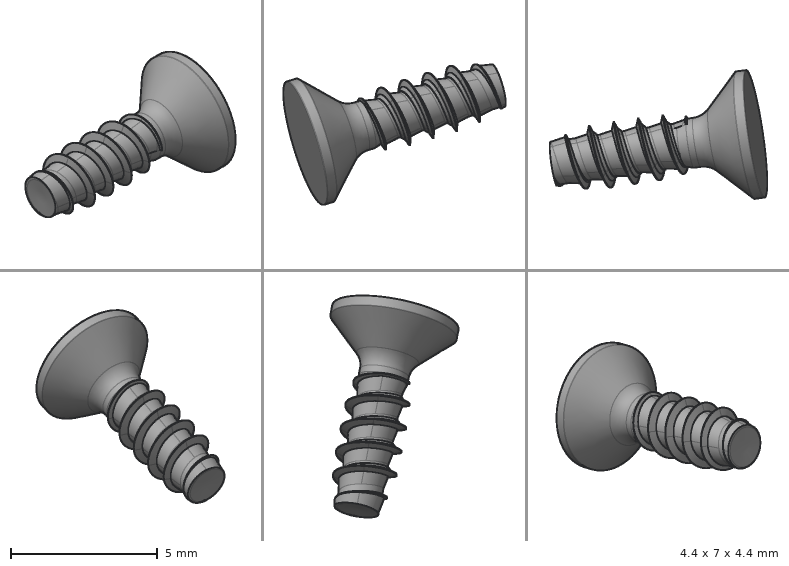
import math

import cadquery as cq


total_length = 7.0
head_radius = 2.2
rim_height = 0.35
rim_rounding = 0.02
head_slope = math.radians(45)
neck_radius = 0.85
neck_fillet_radius = 0.8
neck_end_depth = 2.26
neck_taper_end_depth = 2.6

core_radius = 0.745
tip_dimple_radius = 0.70
tip_dimple_depth = 0.05

crest_radius = 1.1
crest_half_width = 0.012
lead_flank_offset = -0.095
lead_flank_radius = 0.885
root_slope = math.radians(45)
root_slope_width = 0.115
back_flank_offset = 0.115
swell_radius = 0.82
swell_end_offset = 0.54
swell_overrun = 0.05
buried_radius = 0.385

pitch = 0.85
first_crest_depth = 2.116
first_turn = 0
flat_start_last_turn = 0.25
flat_start_shift = 0.12
full_height_first_turn = 1.25
full_height_last_turn = 4.25
last_turn = 5.75
run_in_sink_per_turn = 0.15
run_out_sink_per_turn = 0.23
deepest_thread_sink = 0.27
stretches_per_turn = 4
points_per_stretch = 5

swell_slope = (swell_radius - core_radius) / (swell_end_offset - back_flank_offset)
back_flank_slope = (back_flank_offset - crest_half_width) / (crest_radius - swell_radius)


def make_body():
    """Countersunk head, neck fillet, neck and plain core, turned about Y."""
    fillet_start_radius = neck_radius + neck_fillet_radius * (1 - math.cos(head_slope))
    fillet_start_depth = rim_height + (head_radius - fillet_start_radius) / math.tan(head_slope)
    fillet_end_depth = fillet_start_depth + neck_fillet_radius * math.sin(head_slope)
    half_slope = head_slope / 2
    fillet_mid_radius = neck_radius + neck_fillet_radius * (1 - math.cos(half_slope))
    fillet_mid_depth = fillet_end_depth - neck_fillet_radius * math.sin(half_slope)
    body = (
        cq.Workplane("XY")
        .lineTo(head_radius, 0)
        .lineTo(head_radius, -rim_height)
        .lineTo(fillet_start_radius, -fillet_start_depth)
        .threePointArc((fillet_mid_radius, -fillet_mid_depth), (neck_radius, -fillet_end_depth))
        .lineTo(neck_radius, -neck_end_depth)
        .lineTo(core_radius, -neck_taper_end_depth)
        .lineTo(core_radius, -total_length)
        .lineTo(0, -total_length)
        .close()
        .revolve(360, (0, 0, 0), (0, 1, 0))
    )
    reach = 2 * head_radius
    rim_edges = cq.selectors.BoxSelector(
        (-reach, -rim_height - rim_rounding, -reach),
        (reach, rim_rounding, reach),
    )
    return body.edges("%CIRCLE").edges(rim_edges).fillet(rim_rounding)


def crest_sink(turn):
    """How far the crest has sunk toward the axis in its run-in and run-out."""
    run_in = run_in_sink_per_turn * (full_height_first_turn - turn)
    run_out = run_out_sink_per_turn * (turn - full_height_last_turn)
    return max(run_in, run_out, 0)


def thread_section(turn):
    """Corners (offset, radius) of the thread: as it sinks, its tip-side flank rides up the swell."""
    sink = crest_sink(turn)
    flank_sink = min(sink, deepest_thread_sink)
    swell_sink = sink - flank_sink
    back_offset = back_flank_offset - flank_sink * back_flank_slope
    back_radius = swell_radius + (back_flank_offset - back_offset) * swell_slope - swell_sink
    shift = flat_start_shift * max(1 - turn / flat_start_last_turn, 0)
    root_offset = lead_flank_offset - root_slope_width + shift
    swell_limit = swell_end_offset + swell_overrun
    return [
        (root_offset, buried_radius),
        (root_offset, lead_flank_radius - root_slope_width * math.tan(root_slope) - sink),
        (lead_flank_offset + shift, lead_flank_radius - sink),
        (shift - crest_half_width, crest_radius - sink),
        (shift + crest_half_width, crest_radius - sink),
        (back_offset + shift, back_radius),
        (swell_limit, core_radius - swell_overrun * swell_slope - swell_sink),
        (swell_limit, buried_radius),
    ]


def section_points(turn):
    """Corners of the thread section placed in space at a turn of the helix."""
    angle = 2 * math.pi * turn
    depth = first_crest_depth + pitch * turn
    return [
        cq.Vector(radius * math.cos(angle), -depth - offset, radius * math.sin(angle))
        for offset, radius in thread_section(turn)
    ]


def make_thread():
    """Helical ridge with ruled flanks, built in short stretches that meet end to end."""
    stretch = 1 / stretches_per_turn
    step = stretch / (points_per_stretch - 1)
    faces = []
    for i in range(round((last_turn - first_turn) / stretch)):
        start = first_turn + i * stretch
        sections = [section_points(start + j * step) for j in range(points_per_stretch)]
        edges = [cq.Edge.makeSpline(list(corner_path)) for corner_path in zip(*sections)]
        for edge, next_edge in zip(edges, edges[1:] + edges[:1]):
            faces.append(cq.Face.makeRuledSurface(edge, next_edge))
    for turn in (first_turn, last_turn):
        end_outline = cq.Wire.makePolygon(section_points(turn), close=True)
        faces.append(cq.Face.makeFromWires(end_outline))
    ridge = cq.Solid.makeSolid(cq.Shell.makeShell(faces)).fix()
    return cq.Workplane(obj=ridge)


def make_thread_zone():
    """Cylinder that trims the thread flush with the tip face."""
    return cq.Workplane("XZ").circle(head_radius).extrude(total_length)


def make_tip_dimple():
    """Shallow cone sunk into the tip face."""
    return (
        cq.Workplane("XY", origin=(0, -total_length, 0))
        .lineTo(tip_dimple_radius, 0)
        .lineTo(0, tip_dimple_depth)
        .close()
        .revolve(360, (0, 0, 0), (0, 1, 0))
    )


thread = make_thread().intersect(make_thread_zone())
result = make_body().union(thread).cut(make_tip_dimple())